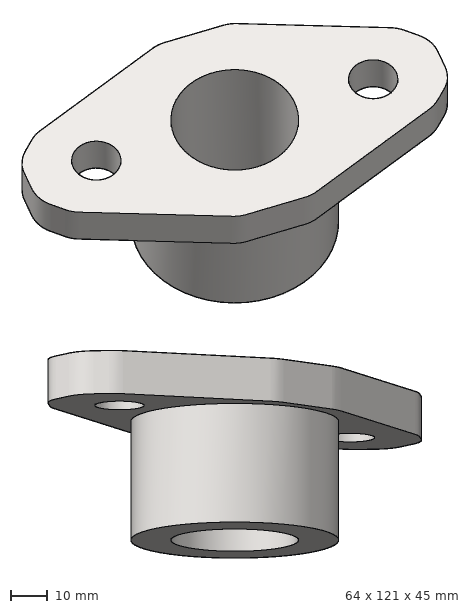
import cadquery as cq

flange_width = 64.0
flange_length = 121.0
flange_thickness = 12.0
corner_radius = 10.0
end_flat_width = 14.0
end_chamfer = 7.4
side_flat_length = 21.0

total_height = 45.0
spigot_diameter = 57.0
spigot_length = total_height - flange_thickness
bore_diameter = 35.0

mount_hole_diameter = 13.5
mount_hole_spacing = 81.0


def make_flange():
    """Twelve-sided plate with rounded vertical corners; its underside is at Z = 0."""
    half_width = flange_width / 2
    half_length = flange_length / 2
    half_side_flat = side_flat_length / 2
    half_end_flat = end_flat_width / 2
    shoulder_x = half_end_flat + end_chamfer
    shoulder_y = half_length - end_chamfer

    quarter = [
        (half_width, half_side_flat),
        (shoulder_x, shoulder_y),
        (half_end_flat, half_length),
    ]
    upper_half = quarter + [(-x, y) for x, y in reversed(quarter)]
    lower_half = [(-x, -y) for x, y in upper_half]

    plate = cq.Workplane("XY").polyline(upper_half + lower_half).close().extrude(flange_thickness)
    return plate.edges("|Z").fillet(corner_radius)


def make_spigot():
    """Cylinder hanging from the underside of the flange."""
    return cq.Workplane("XY").circle(spigot_diameter / 2).extrude(-spigot_length)


def make_bore():
    """Cutter for the central bore, running the full height."""
    bottom = cq.Workplane("XY").workplane(offset=-spigot_length)
    return bottom.circle(bore_diameter / 2).extrude(total_height)


def make_mount_holes():
    """Cutters for the two mounting holes through the flange."""
    half_spacing = mount_hole_spacing / 2
    centres = [(0, half_spacing), (0, -half_spacing)]
    plane = cq.Workplane("XY").pushPoints(centres)
    return plane.circle(mount_hole_diameter / 2).extrude(flange_thickness)


body = make_flange().union(make_spigot())
result = body.cut(make_bore()).cut(make_mount_holes())